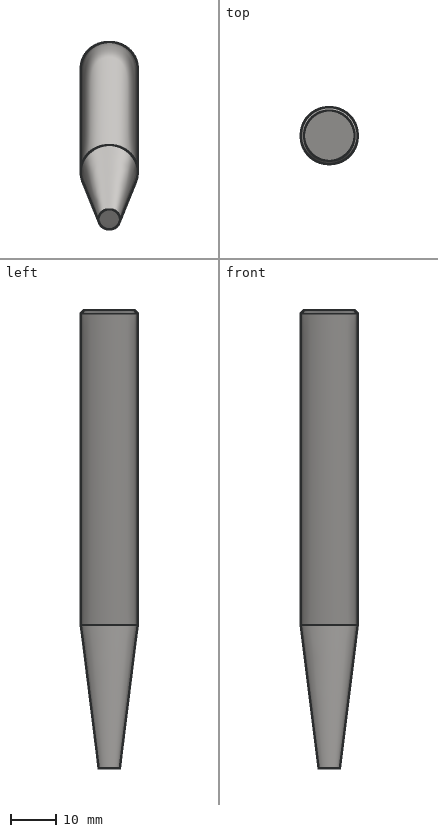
import cadquery as cq

overall_length = 101.6
shank_diameter = 12.7
tip_length = 31.75
tip_end_diameter = 4.7625
top_chamfer = 0.76

shank_radius = shank_diameter / 2
tip_end_radius = tip_end_diameter / 2
shank_length = overall_length - tip_length


def make_shank():
    """Round shank standing on the tip, with a chamfered top rim."""
    return (
        cq.Workplane("XY", origin=(0, 0, tip_length))
        .circle(shank_radius)
        .extrude(shank_length)
        .faces(">Z")
        .edges()
        .chamfer(top_chamfer)
    )


def make_tip():
    """Tapered tip: full shank diameter at its top, narrowing to a flat end at Z = 0."""
    return (
        cq.Workplane("XZ")
        .lineTo(-tip_end_radius, 0)
        .lineTo(-shank_radius, tip_length)
        .lineTo(0, tip_length)
        .close()
        .revolve(360, (0, 0, 0), (0, 1, 0))
    )


shank = make_shank()
tip = make_tip()

result = cq.Compound.makeCompound([shank.val(), tip.val()])